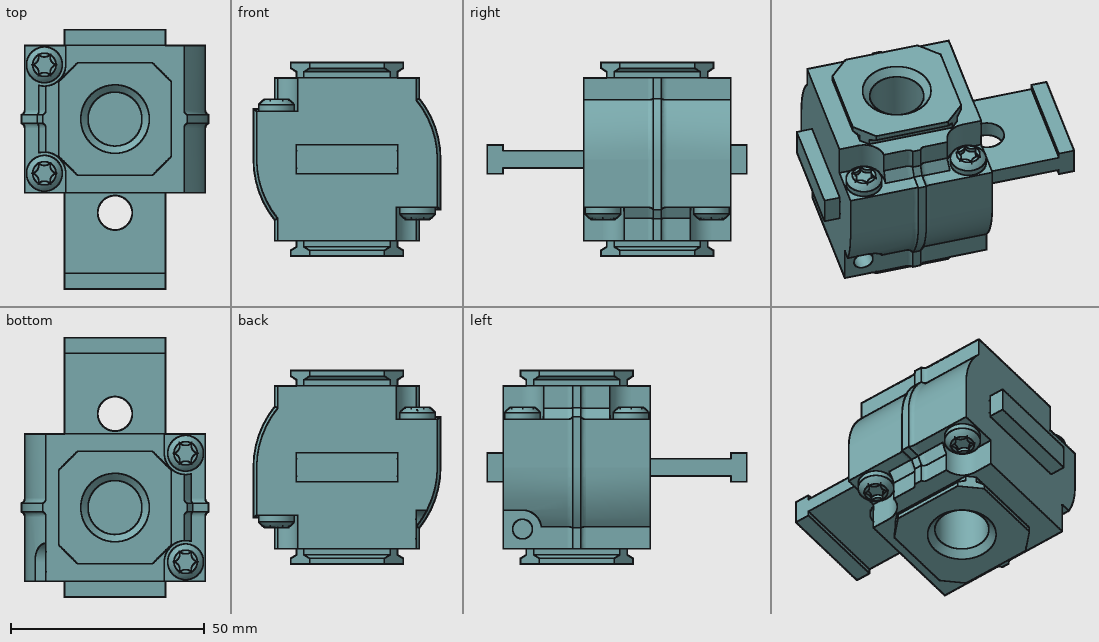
import cadquery as cq
import math

housing_length = 38.05
housing_height = 42.1
core_half_width = 17.8
body_half_width = 23.3
arc_radius = 24.2
shelf_height = 12.4
ramp_foot_x = 19.6
ramp_top_height = 15.2

rib_height = 0.9
rib_crest_width = 2.15
rib_root_width = 4.7
rib_shelf_rise = 0.6
rib_ramp_foot_shift = 0.4
rib_ramp_top_rise = 0.15
flank_steps = 4

overall_height = 50.0
flange_side = 29.1
flange_rim = 1.5
flange_taper = 0.95
neck_side = 26.1
corner_cut = 4.9

bore_radius = 7.0
bore_chamfer = 1.9

screw_x = 18.2
screw_y = 14.0
head_radius = 4.6
head_height = 3.15
head_rim_height = 1.7
head_top_radius = 3.0
pocket_radius = 5.5
socket_tip_radius = 3.2
socket_waist_radius = 2.0
socket_depth = 1.1
socket_points = 6

side_hole_radius = 2.55
side_hole_depth = 6.7
side_hole_z = -15.95
side_flat_radius = 4.9

bar_length = 67.0
bar_width = 26.1
bar_thickness = 4.5
bar_head_length = 4.1
bar_head_height = 7.5
bar_hole_radius = 4.4
bar_hole_y = -24.2

half_length = housing_length / 2
half_height = housing_height / 2


def housing_outline(y, lift=0.0):
    """Closed XZ outline at the given Y; `lift` goes from 0 at the body faces to 1 at the rib crest."""
    raised = lift * rib_height
    shelf_z = shelf_height + lift * rib_shelf_rise
    foot_x = ramp_foot_x + lift * rib_ramp_foot_shift
    ramp_top_z = ramp_top_height + lift * rib_ramp_top_rise
    core_x = core_half_width + raised
    body_x = body_half_width + raised
    radius = arc_radius + raised
    arc_center_x = radius - body_x
    arc_end_z = math.sqrt(radius**2 - (core_x + arc_center_x) ** 2)
    middle_angle = math.asin(arc_end_z / radius) / 2
    arc_middle_x = radius * math.cos(middle_angle) - arc_center_x
    arc_middle_z = radius * math.sin(middle_angle)

    outline = cq.Workplane("XZ", origin=(0, y, 0)).moveTo(core_x, half_height)
    for side in (1, -1):
        outline = (
            outline.lineTo(-side * core_x, side * half_height)
            .lineTo(-side * core_x, side * ramp_top_z)
            .lineTo(-side * foot_x, side * shelf_z)
            .lineTo(-side * body_x, side * shelf_z)
            .lineTo(-side * body_x, 0)
            .threePointArc(
                (-side * arc_middle_x, -side * arc_middle_z),
                (-side * core_x, -side * arc_end_z),
            )
            .lineTo(-side * core_x, -side * half_height)
        )
    return outline.close()


def make_rib():
    """Rib with a flat crest, and flanks that curve out as arcs to meet the body faces smoothly."""
    crest_y = rib_crest_width / 2
    root_y = rib_root_width / 2
    flank_width = root_y - crest_y
    flank_radius = (flank_width**2 + rib_height**2) / (2 * rib_height)
    rib = housing_outline(crest_y, 1).extrude(rib_crest_width)
    for side in (1, -1):
        sections = []
        for step in range(flank_steps + 1):
            from_root = flank_width * step / flank_steps
            height = flank_radius - math.sqrt(flank_radius**2 - from_root**2)
            section_y = side * (root_y - from_root)
            sections.append(housing_outline(section_y, height / rib_height).val())
        rib = rib.union(cq.Workplane(cq.Solid.makeLoft(sections)))
    return rib


def make_flange():
    """Square port flange on its neck, standing on the top face, with its four corners cut off."""
    flange_height = overall_height / 2 - half_height
    neck_height = flange_height - flange_rim - flange_taper
    flange = (
        cq.Workplane("XY", origin=(0, 0, half_height))
        .rect(neck_side, neck_side)
        .extrude(neck_height)
        .faces(">Z")
        .workplane()
        .rect(neck_side, neck_side)
        .workplane(offset=flange_taper)
        .rect(flange_side, flange_side)
        .loft(ruled=True)
        .faces(">Z")
        .workplane()
        .rect(flange_side, flange_side)
        .extrude(flange_rim)
    )
    corner_limit = (
        cq.Workplane("XY", origin=(0, 0, half_height))
        .rect(flange_side, flange_side)
        .extrude(flange_height)
        .edges("|Z")
        .chamfer(corner_cut)
    )
    return flange.intersect(corner_limit)


def turned(shape):
    """The shape after half a turn about the Y axis."""
    return shape.rotate((0, 0, 0), (0, 1, 0), 180)


def make_screw_pockets():
    """Pockets above the top shelf, round towards the middle and straight out to the end faces."""
    pocket_height = half_height - shelf_height
    end_length = half_length - screw_y
    pockets = cq.Workplane("XY")
    for end in (1, -1):
        floor = cq.Workplane("XY", origin=(-screw_x, end * screw_y, shelf_height))
        round_part = floor.circle(pocket_radius).extrude(pocket_height)
        straight_part = (
            floor.center(0, end * end_length / 2)
            .rect(2 * pocket_radius, end_length)
            .extrude(pocket_height)
        )
        pockets = pockets.add(round_part.union(straight_part))
    return pockets.combine()


def make_side_flat():
    """Cut through the bulge down to the core face around the side hole and out to the +Y end face."""
    bulge = body_half_width - core_half_width
    plane = cq.Plane((-core_half_width, screw_y, side_hole_z), xDir=(0, 1, 0), normal=(-1, 0, 0))
    end_length = half_length - screw_y
    round_part = cq.Workplane(plane).circle(side_flat_radius).extrude(bulge)
    straight_part = (
        cq.Workplane(plane)
        .center(end_length / 2, 0)
        .rect(end_length, 2 * side_flat_radius)
        .extrude(bulge)
    )
    return round_part.union(straight_part)


def make_side_hole():
    return (
        cq.Workplane("YZ", origin=(-core_half_width, screw_y, side_hole_z))
        .circle(side_hole_radius)
        .extrude(side_hole_depth)
    )


def make_bore():
    """Bore through both ports, widened by a chamfer at each mouth."""
    half = overall_height / 2
    mouth_radius = bore_radius + bore_chamfer
    half_section = [
        (0, -half),
        (mouth_radius, -half),
        (bore_radius, bore_chamfer - half),
        (bore_radius, half - bore_chamfer),
        (mouth_radius, half),
        (0, half),
    ]
    return cq.Workplane("XZ").polyline(half_section).close().revolve(360, (0, 0), (0, 1))


def make_housing():
    flange = make_flange()
    pockets = make_screw_pockets()
    bar_slot = cq.Workplane("XY").box(bar_width, housing_length, bar_thickness)
    return (
        housing_outline(half_length)
        .extrude(housing_length)
        .union(make_rib())
        .cut(pockets)
        .cut(turned(pockets))
        .cut(make_side_flat())
        .union(flange)
        .union(turned(flange))
        .cut(make_side_hole())
        .cut(make_bore())
        .cut(bar_slot)
    )


def make_slide_bar():
    """Flat bar through the housing, with a thick head at each end and one of them against the housing."""
    back_end = half_length + bar_head_length
    front_end = back_end - bar_length
    bar_middle = (back_end + front_end) / 2
    bar = cq.Workplane("XY").box(bar_width, bar_length, bar_thickness).translate((0, bar_middle, 0))
    for head_y in (back_end - bar_head_length / 2, front_end + bar_head_length / 2):
        head = cq.Workplane("XY").box(bar_width, bar_head_length, bar_head_height)
        bar = bar.union(head.translate((0, head_y, 0)))
    hole = cq.Workplane("XY", origin=(0, bar_hole_y, -bar_thickness / 2)).circle(bar_hole_radius)
    return bar.cut(hole.extrude(bar_thickness))


def make_screw(y):
    """Round-topped screw head on the top shelf, with a star-shaped socket."""
    origin = (-screw_x, y, shelf_height)
    dome_rise = head_height - head_rim_height
    rim_above_center = (head_radius**2 - head_top_radius**2 - dome_rise**2) / (2 * dome_rise)
    dome_radius = math.hypot(head_radius, rim_above_center)
    dome_center_height = head_rim_height - rim_above_center
    middle_radius = (head_radius + head_top_radius) / 2
    middle_height = dome_center_height + math.sqrt(dome_radius**2 - middle_radius**2)
    head = (
        cq.Workplane("XZ", origin=origin)
        .lineTo(head_radius, 0)
        .lineTo(head_radius, head_rim_height)
        .threePointArc((middle_radius, middle_height), (head_top_radius, head_height))
        .lineTo(0, head_height)
        .close()
        .revolve(360, (0, 0), (0, 1))
    )

    step = 2 * math.pi / socket_points
    star = cq.Workplane("XY", origin=origin).workplane(offset=head_height).moveTo(socket_tip_radius, 0)
    for point in range(socket_points):
        waist_angle = (point + 0.5) * step
        tip_angle = (point + 1) * step
        star = star.threePointArc(
            (socket_waist_radius * math.cos(waist_angle), socket_waist_radius * math.sin(waist_angle)),
            (socket_tip_radius * math.cos(tip_angle), socket_tip_radius * math.sin(tip_angle)),
        )
    return head.cut(star.close().extrude(-socket_depth))


housing = make_housing()
slide_bar = make_slide_bar()
screws = []
for screw_end in (1, -1):
    screw = make_screw(screw_end * screw_y)
    screws += [screw.val(), turned(screw).val()]

result = cq.Compound.makeCompound([housing.val(), slide_bar.val(), *screws])